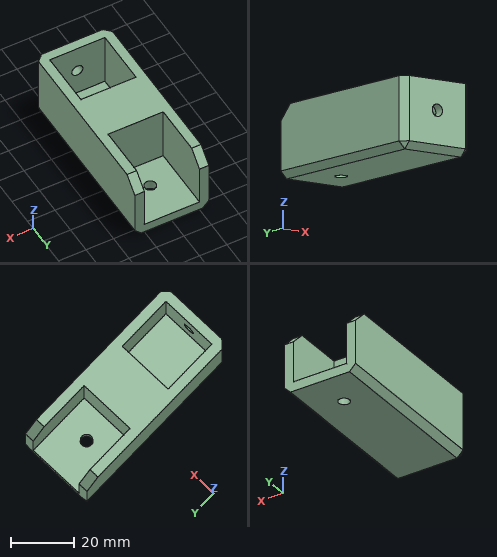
import cadquery as cq

width = 27.0
length = 64.5
height = 23.5

wall = 3.5
floor = wall
inner_width = width - 2 * wall
pocket_length = inner_width
slot_length = 23.4

edge_chamfer = 2.3
rear_chamfer = 5.0

hole_diameter = 4.0
floor_hole_from_rear = 14.0
front_hole_below_top = 10.0


def box_between(y_start, y_end):
    """Centred cutter for an opening from the floor up through the top."""
    return (
        cq.Workplane("XY", origin=(0, 0, floor))
        .rect(inner_width, y_end - y_start)
        .extrude(height - floor)
        .translate((0, (y_start + y_end) / 2, 0))
    )


body = cq.Workplane("XY").box(width, length, height, centered=(True, False, False))

body = body.edges("(|Z and <Y) or (|Y and <Z) or (|X and <Y and <Z)").chamfer(edge_chamfer)

body = body.edges("|X and >Y and >Z").chamfer(rear_chamfer)

body = body.cut(box_between(wall, wall + pocket_length))
body = body.cut(box_between(length - slot_length, length))

floor_hole = (
    cq.Workplane("XY", origin=(0, length - floor_hole_from_rear, 0))
    .circle(hole_diameter / 2)
    .extrude(floor)
)

front_hole = (
    cq.Workplane("XZ", origin=(0, 0, height - front_hole_below_top))
    .circle(hole_diameter / 2)
    .extrude(-wall)
)

result = body.cut(floor_hole).cut(front_hole)